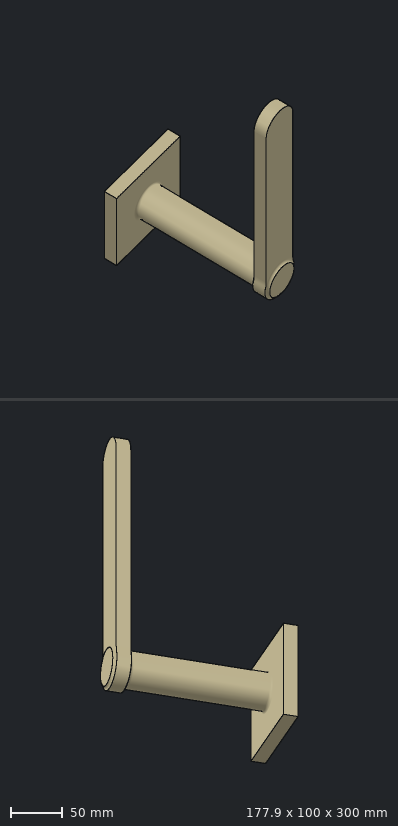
import math

import cadquery as cq


plate_size = 100.0
plate_thickness = 15.0

post_radius = 19.0
plate_fillet = 3.0
arm_fillet = 4.0

arm_inner_x = 160.0
arm_thickness = 15.0
arm_width = 42.0
arm_top_z = 250.0
eye_radius = post_radius + arm_fillet
eye_blend_radius = 20.0

boss_height = 2.9

arm_outer_x = arm_inner_x + arm_thickness
end_x = arm_outer_x + boss_height
end_radius = eye_radius - math.sqrt(arm_fillet**2 - (arm_fillet - boss_height) ** 2)


def make_plate():
    return cq.Workplane("YZ").rect(plate_size, plate_size).extrude(plate_thickness)


def make_post():
    """Post with its fillets and the end boss, revolved about the X axis."""
    profile = (
        cq.Workplane("XZ")
        .lineTo(0, post_radius + plate_fillet)
        .lineTo(plate_thickness, post_radius + plate_fillet)
        .radiusArc((plate_thickness + plate_fillet, post_radius), -plate_fillet)
        .lineTo(arm_inner_x - arm_fillet, post_radius)
        .radiusArc((arm_inner_x, eye_radius), -arm_fillet)
        .lineTo(arm_outer_x, eye_radius)
        .radiusArc((end_x, end_radius), -arm_fillet)
        .lineTo(end_x, 0)
        .close()
    )
    return profile.revolve(360, (0, 0, 0), (1, 0, 0))


def make_arm():
    """Arm with a rounded top, blended tangentially into the eye around the post."""
    half_width = arm_width / 2
    shoulder_z = arm_top_z - half_width
    blend_center_y = half_width + eye_blend_radius
    center_distance = eye_radius + eye_blend_radius
    blend_top_z = math.sqrt(center_distance**2 - blend_center_y**2)
    eye_share = eye_radius / center_distance
    tangent_y = blend_center_y * eye_share
    tangent_z = blend_top_z * eye_share
    blend_angle = math.asin(blend_top_z / center_distance) / 2
    mid_y = blend_center_y - eye_blend_radius * math.cos(blend_angle)
    mid_z = blend_top_z - eye_blend_radius * math.sin(blend_angle)
    outline = (
        cq.Workplane("YZ", origin=(arm_inner_x, 0, 0))
        .moveTo(half_width, shoulder_z)
        .threePointArc((0, arm_top_z), (-half_width, shoulder_z))
        .lineTo(-half_width, blend_top_z)
        .threePointArc((-mid_y, mid_z), (-tangent_y, tangent_z))
        .threePointArc((0, -eye_radius), (tangent_y, tangent_z))
        .threePointArc((mid_y, mid_z), (half_width, blend_top_z))
        .close()
    )
    return outline.extrude(arm_thickness)


result = make_plate().union(make_post()).union(make_arm())